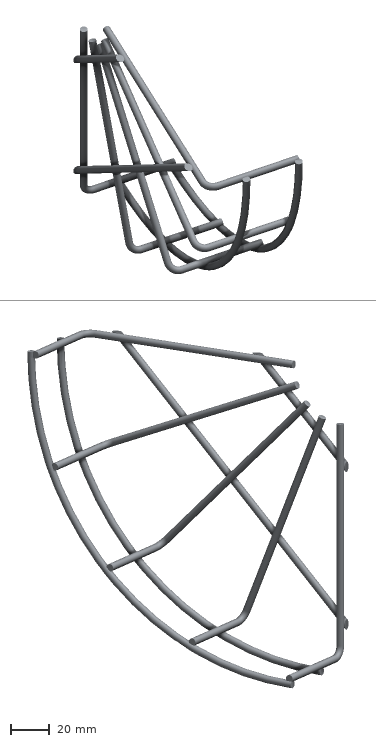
import cadquery as cq
import math

wire_diameter = 4.0
wire_radius = wire_diameter / 2
weld_offset = 3.0

hoop_radius = 156.2
hoop_spacing = 30.0
hoop_overrun = 0.5
total_depth = 58.0

spoke_inner_radius = 28.0
spoke_count = 5
bend_radius = 6.0
brace_reaches = (53.7, 138.4)

rear_hoop_y = 0
front_hoop_y = rear_hoop_y - hoop_spacing
brace_y = rear_hoop_y - (total_depth - wire_diameter)
spoke_y = brace_y + weld_offset
upright_radius = hoop_radius - weld_offset
upright_end_y = rear_hoop_y + wire_radius / 2


def make_hoop(y):
    """Quarter circle of wire from the +X direction down to the -Z direction."""
    section = cq.Workplane("XY", origin=(hoop_radius, y, 0)).circle(wire_radius)
    hoop = section.revolve(90 + 2 * hoop_overrun, (-hoop_radius, 0, 0), (-hoop_radius, 1, 0))
    return hoop.rotate((0, 0, 0), (0, 1, 0), -hoop_overrun)


def make_spoke(angle):
    """Radial wire bent back into an upright that reaches the rear hoop."""
    bend_start = upright_radius - bend_radius
    bend_end_y = spoke_y + bend_radius
    diagonal = bend_radius * math.sqrt(0.5)
    path = (
        cq.Workplane("XY")
        .moveTo(spoke_inner_radius, spoke_y)
        .lineTo(bend_start, spoke_y)
        .threePointArc(
            (bend_start + diagonal, bend_end_y - diagonal),
            (upright_radius, bend_end_y),
        )
        .lineTo(upright_radius, upright_end_y)
    )
    section = cq.Workplane("YZ", origin=(spoke_inner_radius, spoke_y, 0)).circle(wire_radius)
    return section.sweep(path).rotate((0, 0, 0), (0, 1, 0), angle)


def make_brace(reach):
    """Straight 45 degree wire, cut flush with the outer faces of the end spokes."""
    corner = (-wire_radius, wire_radius)
    half_width = wire_radius * math.sqrt(2)
    length = (reach + 2 * half_width) * math.sqrt(2)
    middle = (corner[0] + reach / 2, brace_y, corner[1] - reach / 2)
    axis_plane = cq.Plane(origin=middle, xDir=(0, 1, 0), normal=(1, 0, 1))
    wire = cq.Workplane(axis_plane).circle(wire_radius).extrude(length / 2, both=True)
    limit_size = reach + 2 * half_width
    limits_origin = (corner[0], brace_y, corner[1] - limit_size)
    limits = cq.Workplane("XY", origin=limits_origin).box(
        limit_size, 2 * wire_diameter, limit_size, centered=(False, True, False)
    )
    return wire.intersect(limits)


result = make_hoop(rear_hoop_y).union(make_hoop(front_hoop_y))
for index in range(spoke_count):
    result = result.union(make_spoke(90 * index / (spoke_count - 1)))
for brace_reach in brace_reaches:
    result = result.union(make_brace(brace_reach))